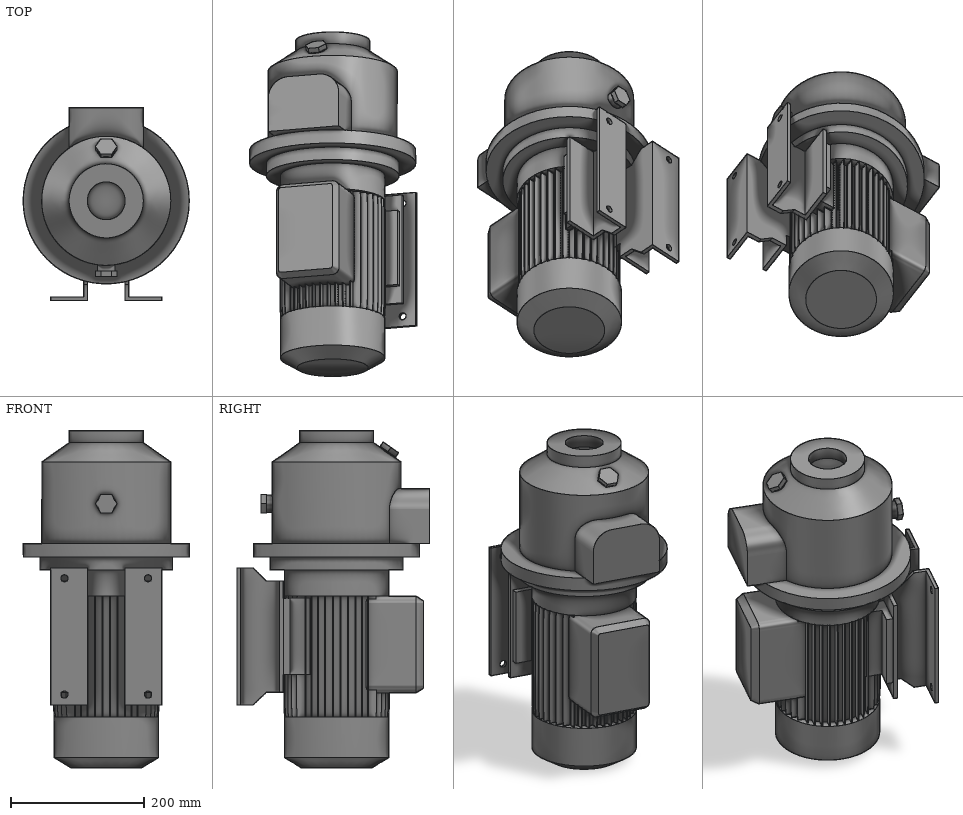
import cadquery as cq
import math

HEIGHT = 507.0
COWL_CONE_TOP = 15.0
COWL_TOP = 76.0
FINS_TOP = 258.0
MOTOR_NECK_TOP = 297.5
MOTOR_FLANGE_TOP = 317.0
PUMP_FLANGE_TOP = 337.0
CASING_TOP = 460.0
COLLAR_BOTTOM = 489.0

COWL_RADIUS = 78.5
COWL_END_RADIUS = 53.0
CORE_RADIUS = 66.5
MOTOR_FLANGE_RADIUS = 100.0
PUMP_FLANGE_RADIUS = 250.0 / 2
CASING_RADIUS = 194.0 / 2
COLLAR_RADIUS = 56.0
INLET_RADIUS = 28.5

OUTLET_HALF_WIDTH = 56.0
OUTLET_END_Y = 140.0
OUTLET_HEIGHT = 82.5
OUTLET_CORNER_RADIUS = 31.0

PLUG_HEX_FLATS = 28.5
PLUG_HEAD_THICKNESS = 8.0
PLUG_SHANK_DIAMETER = 26.5
PLUG_ROOT_DEPTH = 5.0
DRAIN_SHANK_LENGTH = 8.5
DRAIN_Z = 397.0
VENT_SHANK_LENGTH = 1.0

FIN_HEIGHT = 13.0
FIN_END_TAPER = 1.0
FIN_TAPER_LENGTH = 15.0
FIN_THICKNESS = 1.5
FIN_PITCH_ANGLE = 10
FINS_PER_SIDE = 10

BOX_HALF_WIDTH = 49.5
BOX_BOTTOM = 112.5
BOX_END_Y = 131.0
BOX_BEVEL_LENGTH = 11.0
BOX_BEVEL_INSET = 7.0
BOX_EDGE_RADIUS = 10.5

PAD_BOTTOM = 140.0
PAD_TOP = 255.0
PAD_HALF_SPAN = 79.5
PAD_THICKNESS = 10.0
PAD_WEB_OUTER_X = 53.0

BRACKET_INNER_X = 28.0
BRACKET_OUTER_X = 83.5
BRACKET_THICKNESS = 6.0
BRACKET_BACK_Y = -80.0
FOOT_FRONT_Y = -150.0
FOOT_THICKNESS = 5.5
FOOT_BOTTOM = 94.5
FOOT_TOP = 300.5
MOUNT_FLANGE_BOTTOM = 113.5
MOUNT_FLANGE_TOP = 281.0
SLOPE_BACK_Y = -105.5
SLOPE_FRONT_Y = -125.5
FOOT_HOLE_X = 63.0
FOOT_HOLE_DIAMETER = 10.5
FOOT_HOLE_INSET = 15.5


def block(x_range, y_range, z_range):
    """Box between two limits on each axis."""
    size = [end - start for start, end in (x_range, y_range, z_range)]
    corner = (x_range[0], y_range[0], z_range[0])
    return cq.Workplane("XY").box(*size, centered=False).translate(corner)


def disc(radius, bottom, top):
    return cq.Workplane("XY").workplane(offset=bottom).circle(radius).extrude(top - bottom)


def both_sides(shape):
    """Shape together with its mirror image across the YZ plane."""
    return shape.union(shape.mirror("YZ"))


def hex_plug(seat, direction, shank_length):
    """Screw plug whose shank leaves the pump wall at the seat point."""
    plane = cq.Plane(origin=seat, xDir=(1, 0, 0), normal=direction)
    shank = (
        cq.Workplane(plane)
        .workplane(offset=-PLUG_ROOT_DEPTH)
        .circle(PLUG_SHANK_DIAMETER / 2)
        .extrude(PLUG_ROOT_DEPTH + shank_length)
    )
    hex_corners = PLUG_HEX_FLATS / math.cos(math.pi / 6)
    head = cq.Workplane(plane).workplane(offset=shank_length)
    return shank.union(head.polygon(6, hex_corners).extrude(PLUG_HEAD_THICKNESS))


def make_outlet():
    outlet = block(
        (-OUTLET_HALF_WIDTH, OUTLET_HALF_WIDTH),
        (0, OUTLET_END_Y),
        (PUMP_FLANGE_TOP, PUMP_FLANGE_TOP + OUTLET_HEIGHT),
    )
    return outlet.edges("|Y and >Z").fillet(OUTLET_CORNER_RADIUS)


def make_pump():
    profile = [
        (0, MOTOR_FLANGE_TOP),
        (PUMP_FLANGE_RADIUS, MOTOR_FLANGE_TOP),
        (PUMP_FLANGE_RADIUS, PUMP_FLANGE_TOP),
        (CASING_RADIUS, PUMP_FLANGE_TOP),
        (CASING_RADIUS, CASING_TOP),
        (COLLAR_RADIUS, COLLAR_BOTTOM),
        (COLLAR_RADIUS, HEIGHT),
        (0, HEIGHT),
    ]
    casing = cq.Workplane("XZ").polyline(profile).close().revolve(360, (0, 0), (0, 1))
    casing = casing.union(make_outlet())

    drain = hex_plug((0, -CASING_RADIUS, DRAIN_Z), (0, -1, 0), DRAIN_SHANK_LENGTH)

    shoulder_run = CASING_RADIUS - COLLAR_RADIUS
    shoulder_rise = COLLAR_BOTTOM - CASING_TOP
    vent_seat = (0, (CASING_RADIUS + COLLAR_RADIUS) / 2, (CASING_TOP + COLLAR_BOTTOM) / 2)
    vent = hex_plug(vent_seat, (0, shoulder_rise, shoulder_run), VENT_SHANK_LENGTH)

    inlet = disc(INLET_RADIUS, COLLAR_BOTTOM, HEIGHT)
    return casing.union(drain).union(vent).cut(inlet)


def make_motor_frame():
    profile = [
        (0, 0),
        (COWL_END_RADIUS, 0),
        (COWL_RADIUS, COWL_CONE_TOP),
        (COWL_RADIUS, COWL_TOP),
        (CORE_RADIUS, COWL_TOP),
        (CORE_RADIUS, FINS_TOP),
        (COWL_RADIUS, FINS_TOP),
        (COWL_RADIUS, MOTOR_NECK_TOP),
        (MOTOR_FLANGE_RADIUS, MOTOR_NECK_TOP),
        (MOTOR_FLANGE_RADIUS, MOTOR_FLANGE_TOP),
        (0, MOTOR_FLANGE_TOP),
    ]
    return cq.Workplane("XZ").polyline(profile).close().revolve(360, (0, 0), (0, 1))


def make_fin(across, tip):
    """Thin fin through the core along X, its two outer edges drawn in slightly at top and bottom."""
    end_tip = tip - FIN_END_TAPER
    outline = [
        (-end_tip, COWL_TOP),
        (end_tip, COWL_TOP),
        (tip, COWL_TOP + FIN_TAPER_LENGTH),
        (tip, FINS_TOP - FIN_TAPER_LENGTH),
        (end_tip, FINS_TOP),
        (-end_tip, FINS_TOP),
        (-tip, FINS_TOP - FIN_TAPER_LENGTH),
        (-tip, COWL_TOP + FIN_TAPER_LENGTH),
    ]
    plane = cq.Workplane("XZ", origin=(0, across, 0))
    return plane.polyline(outline).close().extrude(FIN_THICKNESS / 2, both=True)


def make_fins():
    """Parallel fins on all four sides, evenly spaced in angle around the core."""
    fins = cq.Workplane("XY")
    for index in range(FINS_PER_SIDE):
        angle = math.radians((index - (FINS_PER_SIDE - 1) / 2) * FIN_PITCH_ANGLE)
        fin = make_fin(CORE_RADIUS * math.sin(angle), CORE_RADIUS * math.cos(angle) + FIN_HEIGHT)
        fins = fins.union(fin).union(fin.rotate((0, 0, 0), (0, 0, 1), 90))
    return fins


def make_terminal_box():
    box = block((-BOX_HALF_WIDTH, BOX_HALF_WIDTH), (0, BOX_END_Y), (BOX_BOTTOM, FINS_TOP))
    box = box.edges("|Y").fillet(BOX_EDGE_RADIUS)
    return box.faces(">Y").chamfer(BOX_BEVEL_INSET, BOX_BEVEL_LENGTH)


def make_pad():
    z_range = (PAD_BOTTOM, PAD_TOP)
    plate_back_y = BRACKET_BACK_Y + PAD_THICKNESS
    plate = block((BRACKET_INNER_X, PAD_HALF_SPAN), (BRACKET_BACK_Y, plate_back_y), z_range)
    web = block((BRACKET_INNER_X, PAD_WEB_OUTER_X), (plate_back_y, 0), z_range)
    return plate.union(web)


def make_bracket():
    leg_outline = [
        (BRACKET_BACK_Y, MOUNT_FLANGE_BOTTOM),
        (SLOPE_BACK_Y, MOUNT_FLANGE_BOTTOM),
        (SLOPE_FRONT_Y, FOOT_BOTTOM),
        (FOOT_FRONT_Y, FOOT_BOTTOM),
        (FOOT_FRONT_Y, FOOT_TOP),
        (SLOPE_FRONT_Y, FOOT_TOP),
        (SLOPE_BACK_Y, MOUNT_FLANGE_TOP),
        (BRACKET_BACK_Y, MOUNT_FLANGE_TOP),
    ]
    leg_plane = cq.Workplane("YZ").workplane(offset=BRACKET_INNER_X)
    leg = leg_plane.polyline(leg_outline).close().extrude(BRACKET_THICKNESS)

    x_range = (BRACKET_INNER_X, BRACKET_OUTER_X)
    mount_flange = block(
        x_range,
        (BRACKET_BACK_Y - BRACKET_THICKNESS, BRACKET_BACK_Y),
        (MOUNT_FLANGE_BOTTOM, MOUNT_FLANGE_TOP),
    )
    foot = block(x_range, (FOOT_FRONT_Y, FOOT_FRONT_Y + FOOT_THICKNESS), (FOOT_BOTTOM, FOOT_TOP))
    holes = (
        cq.Workplane("XZ", origin=(0, FOOT_FRONT_Y, 0))
        .pushPoints([(FOOT_HOLE_X, FOOT_BOTTOM + FOOT_HOLE_INSET), (FOOT_HOLE_X, FOOT_TOP - FOOT_HOLE_INSET)])
        .circle(FOOT_HOLE_DIAMETER / 2)
        .extrude(-FOOT_THICKNESS)
    )
    return leg.union(mount_flange).union(foot.cut(holes))


def make_motor():
    motor = make_motor_frame().union(make_fins()).union(make_terminal_box())
    return motor.union(both_sides(make_pad())).union(both_sides(make_bracket()))


pump = make_pump()
motor = make_motor()
result = cq.Compound.makeCompound([pump.val(), motor.val()])